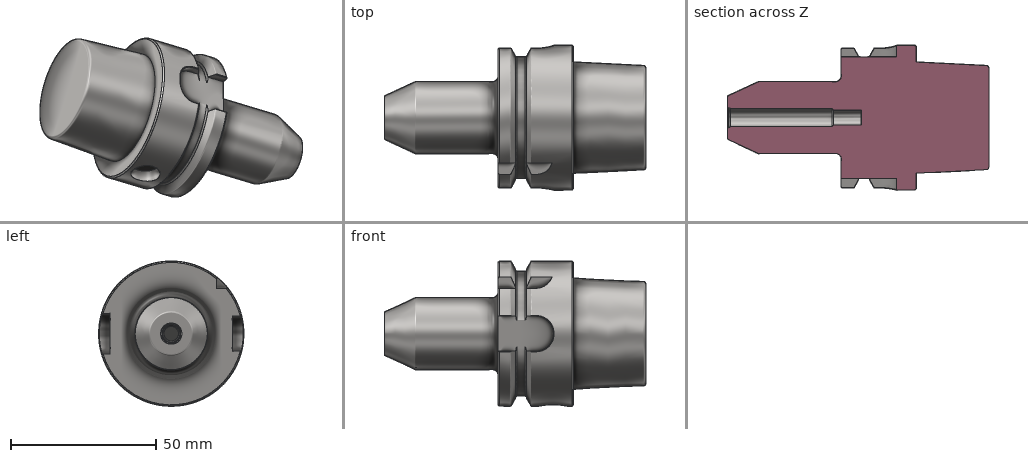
import cadquery as cq
import math

total_length = 90.0
shank_length = 25.0
nose_tip_x = shank_length - total_length

nose_radius = 12.5
nose_tip_radius = 7.5
nose_cone_length = 10.8
nose_shoulder_fillet = 1.0
nose_tip_fillet = 0.6

neck_radius = 24.8 / 2
neck_fillet = 2.0
neck_length = 0.8
undercut_depth = nose_radius - neck_radius
undercut_ramp = 0.7
face_ramp_outer_radius = 15.7

flange_radius = 25.0
flange_width = 26.0
flange_front_x = -flange_width
flange_chamfer = 0.5

groove_center_x = -18.0
groove_half_width = 3.75 / 2
groove_bottom_radius = 21.5
groove_wall_radius = 22.2
groove_flank_angle = 30.0
groove_bottom_fillet = 0.5
groove_front_edge_fillet = 0.6
groove_rear_edge_fillet = 0.3

taper_large_radius = 19.2
taper_ratio = 1 / 20
taper_small_radius = taper_large_radius - shank_length * taper_ratio
shank_end_fillet = 1.0

bore_radius = 3.0
bore_depth = 36.0
bore_entry_radius = 6.5 / 2
bore_entry_length = 0.4
bore_mouth_radius = 3.65
set_screw_hole_radius = 2.5
set_screw_hole_depth = 10.0

keyway_floor = 21.0
front_keyway_width = 12.0
back_keyway_width = 14.0
back_keyway_corner_radius = 6.0
keyway_end_x = -6.9
keyway_edge_chamfer = 0.25

notch_floor = 15.6
notch_end_radius = 6.0
notch_end_x = -7.0

chip_hole_radius = 5.0
chip_hole_depth = 4.5
chip_hole_x = -7.0


def revolve_about_axis(profile):
    return profile.close().revolve(360, (0, 0, 0), (1, 0, 0))


def ring_selector(x, radius):
    """Select the circular edge of the given radius at the given X."""
    margin = 0.1
    reach = radius + margin
    return cq.selectors.BoxSelector(
        (x - margin, -reach, -reach), (x + margin, reach, reach), boundingbox=True
    )


def make_nose():
    nose = revolve_about_axis(
        cq.Workplane("XY")
        .moveTo(nose_tip_x, 0)
        .lineTo(nose_tip_x, nose_tip_radius)
        .lineTo(nose_tip_x + nose_cone_length, nose_radius)
        .lineTo(flange_front_x, nose_radius)
        .lineTo(flange_front_x, 0)
    )
    nose = nose.edges(ring_selector(nose_tip_x, nose_tip_radius)).fillet(nose_tip_fillet)
    shoulder = ring_selector(nose_tip_x + nose_cone_length, nose_radius)
    return nose.edges(shoulder).fillet(nose_shoulder_fillet)


def make_turned_flange():
    groove_front_x = groove_center_x - groove_half_width
    groove_rear_x = groove_center_x + groove_half_width
    flank_run = (flange_radius - groove_wall_radius) * math.tan(math.radians(groove_flank_angle))
    flange = revolve_about_axis(
        cq.Workplane("XY")
        .moveTo(flange_front_x, 0)
        .lineTo(flange_front_x, flange_radius)
        .lineTo(groove_front_x - flank_run, flange_radius)
        .lineTo(groove_front_x, groove_wall_radius)
        .lineTo(groove_front_x, groove_bottom_radius)
        .lineTo(groove_rear_x, groove_bottom_radius)
        .lineTo(groove_rear_x, groove_wall_radius)
        .lineTo(groove_rear_x + flank_run, flange_radius)
        .lineTo(0, flange_radius)
        .lineTo(0, 0)
    )
    for x in (flange_front_x, 0):
        flange = flange.edges(ring_selector(x, flange_radius)).chamfer(flange_chamfer)
    for x in (groove_front_x, groove_rear_x):
        flange = flange.edges(ring_selector(x, groove_bottom_radius)).fillet(groove_bottom_fillet)
    front_edge = ring_selector(groove_front_x - flank_run, flange_radius)
    flange = flange.edges(front_edge).fillet(groove_front_edge_fillet)
    rear_edge = ring_selector(groove_rear_x + flank_run, flange_radius)
    return flange.edges(rear_edge).fillet(groove_rear_edge_fillet)


def make_shank():
    shank = revolve_about_axis(
        cq.Workplane("XY")
        .lineTo(0, taper_large_radius)
        .lineTo(shank_length, taper_small_radius)
        .lineTo(shank_length, 0)
    )
    return shank.edges(ring_selector(shank_length, taper_small_radius)).fillet(shank_end_fillet)


def make_neck_undercut():
    """Relief ring: ramp, neck cylinder, quarter-round, recessed face and ramp out."""
    recess_x = flange_front_x + undercut_depth
    fillet_start_x = recess_x - neck_fillet
    neck_start_x = fillet_start_x - neck_length
    fillet_outer_radius = neck_radius + neck_fillet
    arc_offset = neck_fillet * math.sin(math.radians(45))
    return revolve_about_axis(
        cq.Workplane("XY")
        .moveTo(neck_start_x - undercut_ramp, nose_radius)
        .lineTo(neck_start_x, neck_radius)
        .lineTo(fillet_start_x, neck_radius)
        .threePointArc(
            (fillet_start_x + arc_offset, fillet_outer_radius - arc_offset),
            (recess_x, fillet_outer_radius),
        )
        .lineTo(flange_front_x, face_ramp_outer_radius)
        .lineTo(neck_start_x - undercut_ramp, face_ramp_outer_radius)
    )


def make_neck_fillet():
    """Stock between nose and flange, from which the undercut leaves the quarter-round."""
    return (
        cq.Workplane("YZ", origin=(flange_front_x - neck_fillet, 0, 0))
        .circle(neck_radius + neck_fillet)
        .extrude(neck_fillet)
    )


def make_bore():
    """Blind bore with a chamfered, slightly wider entry and a smaller hole at its bottom."""
    entry_start_x = nose_tip_x + bore_mouth_radius - bore_entry_radius
    entry_end_x = entry_start_x + bore_entry_length
    bore_start_x = entry_end_x + bore_entry_radius - bore_radius
    bore_end_x = nose_tip_x + bore_depth
    set_screw_start_x = bore_end_x + bore_radius - set_screw_hole_radius
    set_screw_end_x = bore_end_x + set_screw_hole_depth
    return revolve_about_axis(
        cq.Workplane("XY")
        .moveTo(nose_tip_x, 0)
        .lineTo(nose_tip_x, bore_mouth_radius)
        .lineTo(entry_start_x, bore_entry_radius)
        .lineTo(entry_end_x, bore_entry_radius)
        .lineTo(bore_start_x, bore_radius)
        .lineTo(bore_end_x, bore_radius)
        .lineTo(set_screw_start_x, set_screw_hole_radius)
        .lineTo(set_screw_end_x, set_screw_hole_radius)
        .lineTo(set_screw_end_x, 0)
    )


def make_front_keyway():
    """Cutter for the -Y keyway, whose inner end is a full half-round."""
    end_radius = front_keyway_width / 2
    depth = flange_radius - keyway_floor
    end_center_x = keyway_end_x - end_radius
    return (
        cq.Workplane("XZ", origin=(0, -keyway_floor, 0))
        .moveTo(flange_front_x, end_radius)
        .lineTo(end_center_x, end_radius)
        .threePointArc((keyway_end_x, 0), (end_center_x, -end_radius))
        .lineTo(flange_front_x, -end_radius)
        .close()
        .extrude(depth)
    )


def make_back_keyway():
    """Cutter for the +Y keyway, whose inner end has two rounded corners."""
    length = keyway_end_x - flange_front_x
    depth = flange_radius - keyway_floor
    cutter = cq.Workplane("XY").box(length, depth, back_keyway_width, centered=(False, False, True))
    cutter = cutter.edges(">X and |Y").fillet(back_keyway_corner_radius)
    return cutter.translate((flange_front_x, keyway_floor, 0))


def make_keyed_disc():
    """Plain disc of the flange's size with both keyways cut and their outer edges chamfered."""
    disc = cq.Workplane("YZ", origin=(flange_front_x, 0, 0)).circle(flange_radius).extrude(flange_width)
    disc = disc.cut(make_front_keyway()).cut(make_back_keyway())
    margin = 0.1
    half_height = back_keyway_width / 2 + margin
    for side in (-1, 1):
        keyway_rim = cq.selectors.BoxSelector(
            (flange_front_x - margin, side * (keyway_floor + margin), -half_height),
            (keyway_end_x + margin, side * (flange_radius + margin), half_height),
            boundingbox=True,
        )
        disc = disc.edges(keyway_rim).chamfer(keyway_edge_chamfer)
    return disc


def make_notch():
    size = flange_radius - notch_floor
    length = notch_end_x - flange_front_x
    cutter = cq.Workplane("XY").box(length, size, size, centered=False)
    cutter = cutter.edges(">X and <Z").fillet(notch_end_radius)
    return cutter.translate((flange_front_x, -flange_radius, notch_floor))


def make_chip_hole():
    return (
        cq.Workplane("XY", origin=(chip_hole_x, 0, -flange_radius))
        .circle(chip_hole_radius)
        .extrude(chip_hole_depth)
    )


flange = make_turned_flange().intersect(make_keyed_disc())
flange = flange.cut(make_notch()).cut(make_chip_hole())
result = make_nose().union(make_neck_fillet()).union(flange).union(make_shank())
result = result.cut(make_neck_undercut()).cut(make_bore())